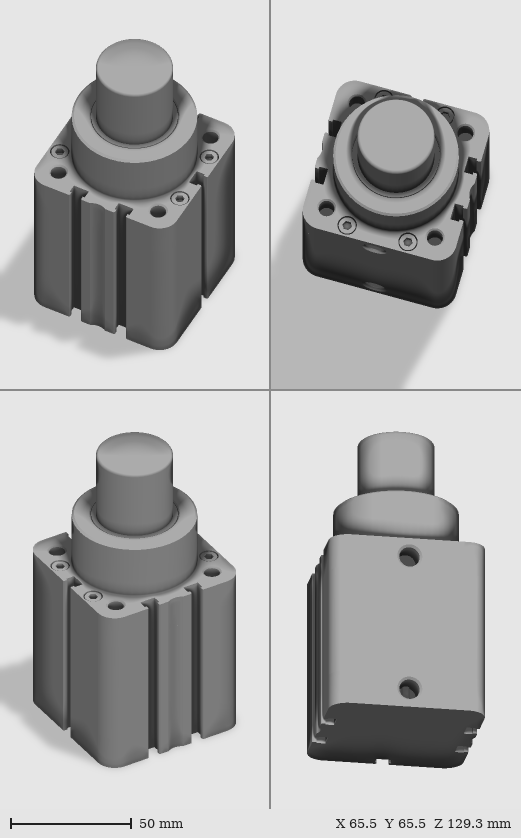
import cadquery as cq
import math


BODY_SIDE = 65.5
BODY_HALF = BODY_SIDE / 2
CORNER_RADIUS = 8.0
REAR_CAP_TOP = 14.6
BARREL_TOP = 60.6
BODY_TOP = 75.0

COLLAR_DIAMETER = 52.0
COLLAR_TOP = 99.0
COLLAR_FACE_DIAMETER = 50.0
COLLAR_CHAMFER_HEIGHT = 0.8
COLLAR_ROOT_FILLET = 0.8

ROD_DIAMETER = 32.0
ROD_TOP = 129.3
ROD_EDGE_FILLET = 1.5

RECESS_EDGE_DIAMETER = 37.5
RECESS_DIAMETER = 36.5
RIM_DIAMETER = 36.0
RIM_DROP = 0.5
RIM_GAP_DEPTH = 2.6

SLOT_OFFSET = 10.5
SLOT_MOUTH_WIDTH = 5.2
SLOT_MOUTH_BEVEL = 0.4
SLOT_HEAD_WIDTH = 7.0
SLOT_LIP = 1.8
SLOT_DEPTH = 5.5

GROOVE_RADIUS = 6.6
GROOVE_DEPTH = 1.0

PORT_DIAMETER = 8.5
PORT_RIM_DIAMETER = 10.5
PORT_DEPTH = 10.3
FRONT_PORT_Z = 67.0
REAR_PORT_Z = 8.1
FRONT_PORT_FLOOR_RADIUS = 25.9
RIB_DIAMETER = 3.5

MOUNT_OFFSET = 23.3
MOUNT_DIAMETER = 6.6
MOUNT_RIM_DIAMETER = 8.0
MOUNT_DEPTH = 11.6

SCREW_X = 28.0
SCREW_Y = 13.0
SCREW_SEAT_DIAMETER = 8.0
SCREW_HEAD_DIAMETER = 7.0
SCREW_HEAD_DROP = 0.3
SCREW_SEAT_DEPTH = 3.9
HEX_ACROSS_FLATS = 3.5
HEX_DEPTH = 2.6


def t_slot(height):
    """T-slot cutter entering the +Y side at X = 0, with bevelled mouth edges."""
    mouth = cq.Workplane("XY").box(SLOT_MOUTH_WIDTH, SLOT_DEPTH, height, centered=(True, False, False))
    head = cq.Workplane("XY").box(
        SLOT_HEAD_WIDTH, SLOT_DEPTH - SLOT_LIP, height, centered=(True, False, False)
    )
    half_mouth = SLOT_MOUTH_WIDTH / 2
    bevel_start = SLOT_DEPTH - SLOT_MOUTH_BEVEL
    bevel_points = [
        (-half_mouth, bevel_start),
        (half_mouth, bevel_start),
        (half_mouth + SLOT_MOUTH_BEVEL, SLOT_DEPTH),
        (-half_mouth - SLOT_MOUTH_BEVEL, SLOT_DEPTH),
    ]
    bevel = cq.Workplane("XY").polyline(bevel_points).close().extrude(height)
    return mouth.union(head).union(bevel).translate((0, BODY_HALF - SLOT_DEPTH, 0))


def body_section(bottom, top):
    """Slice of the slotted square profile between two heights."""
    height = top - bottom
    section = cq.Workplane("XY").box(BODY_SIDE, BODY_SIDE, height, centered=(True, True, False))
    section = section.edges("|Z").fillet(CORNER_RADIUS)
    slot = t_slot(height)
    groove_centre = BODY_HALF - GROOVE_DEPTH + GROOVE_RADIUS
    for side_angle in (0, 180):
        for x in (-SLOT_OFFSET, SLOT_OFFSET):
            section = section.cut(slot.translate((x, 0, 0)).rotate((0, 0, 0), (0, 0, 1), side_angle))
    for y in (-groove_centre, groove_centre):
        section = section.cut(cq.Workplane("XY").center(0, y).circle(GROOVE_RADIUS).extrude(height))
    section = section.cut(slot.rotate((0, 0, 0), (0, 0, 1), -90))
    return section.translate((0, 0, bottom))


def bevelled_hole(diameter, rim_diameter, depth):
    """Flat-bottomed hole cutter going down from Z = 0, with a 45 degree rim bevel."""
    radius = diameter / 2
    rim_radius = rim_diameter / 2
    bevel = rim_radius - radius
    profile = [(0, 0), (rim_radius, 0), (radius, -bevel), (radius, -depth), (0, -depth)]
    return cq.Workplane("XZ").polyline(profile).close().revolve(360, (0, 0, 0), (0, 1, 0))


def port(height):
    """Air port cutter entering the -X side."""
    hole = bevelled_hole(PORT_DIAMETER, PORT_RIM_DIAMETER, PORT_DEPTH)
    return hole.rotate((0, 0, 0), (0, 1, 0), -90).translate((-BODY_HALF, 0, height))


def front_port():
    """Front air port cutter, with a floor curved about the Y direction."""
    floor_round = (
        cq.Workplane("XZ")
        .center(PORT_DEPTH - BODY_HALF - FRONT_PORT_FLOOR_RADIUS, FRONT_PORT_Z)
        .circle(FRONT_PORT_FLOOR_RADIUS)
        .extrude(PORT_RIM_DIAMETER, both=True)
    )
    return port(FRONT_PORT_Z).intersect(floor_round)


def rear_port():
    """Rear air port cutter, leaving a half-round upright rib on its floor."""
    rib = (
        cq.Workplane("XY")
        .center(PORT_DEPTH - BODY_HALF, 0)
        .circle(RIB_DIAMETER / 2)
        .extrude(REAR_CAP_TOP)
    )
    return port(REAR_PORT_Z).cut(rib)


def collar():
    """Round collar standing on the front cap, flared at its root."""
    radius = COLLAR_DIAMETER / 2
    root_radius = radius + COLLAR_ROOT_FILLET
    arc_inset = COLLAR_ROOT_FILLET * (1 - math.sqrt(0.5))
    return (
        cq.Workplane("XZ")
        .moveTo(0, BARREL_TOP)
        .lineTo(radius, BARREL_TOP)
        .lineTo(radius, BODY_TOP)
        .lineTo(root_radius, BODY_TOP)
        .threePointArc((radius + arc_inset, BODY_TOP + arc_inset), (radius, BODY_TOP + COLLAR_ROOT_FILLET))
        .lineTo(radius, COLLAR_TOP - COLLAR_CHAMFER_HEIGHT)
        .lineTo(COLLAR_FACE_DIAMETER / 2, COLLAR_TOP)
        .lineTo(0, COLLAR_TOP)
        .close()
        .revolve(360, (0, 0, 0), (0, 1, 0))
    )


def sunken_disc(disc_diameter, drop):
    """Plain disc, its top below Z = 0, kept standing when a hole is cut around it."""
    return cq.Workplane("XY").circle(disc_diameter / 2).extrude(-BODY_TOP).translate((0, 0, -drop))


def rim_recess():
    """Cutter for the bevelled recess around the rod, leaving the sunken rim standing."""
    recess = bevelled_hole(RECESS_DIAMETER, RECESS_EDGE_DIAMETER, RIM_GAP_DEPTH)
    return recess.cut(sunken_disc(RIM_DIAMETER, RIM_DROP))


def screw_outline():
    """Cutter for one screw: the seat around its sunken head, and its hexagon socket."""
    seat = cq.Workplane("XY").circle(SCREW_SEAT_DIAMETER / 2).extrude(-SCREW_SEAT_DEPTH)
    seat = seat.cut(sunken_disc(SCREW_HEAD_DIAMETER, SCREW_HEAD_DROP))
    hex_corners = HEX_ACROSS_FLATS / math.cos(math.pi / 6)
    socket = cq.Workplane("XY").polygon(6, hex_corners).extrude(-HEX_DEPTH)
    socket = socket.rotate((0, 0, 0), (0, 0, 1), 30).translate((0, 0, -SCREW_HEAD_DROP))
    return seat.union(socket)


def make_rear_cap():
    return body_section(0, REAR_CAP_TOP).cut(rear_port())


def make_barrel():
    return body_section(REAR_CAP_TOP, BARREL_TOP)


def make_front_cap():
    cap = body_section(BARREL_TOP, BODY_TOP).union(collar())
    cap = cap.cut(rim_recess().translate((0, 0, COLLAR_TOP)))
    rod_bore = cq.Workplane("XY").circle(ROD_DIAMETER / 2).extrude(COLLAR_TOP - BARREL_TOP)
    cap = cap.cut(rod_bore.translate((0, 0, BARREL_TOP)))
    cap = cap.cut(front_port())
    mount_hole = bevelled_hole(MOUNT_DIAMETER, MOUNT_RIM_DIAMETER, MOUNT_DEPTH)
    screw = screw_outline()
    for x_side in (-1, 1):
        for y_side in (-1, 1):
            cap = cap.cut(mount_hole.translate((x_side * MOUNT_OFFSET, y_side * MOUNT_OFFSET, BODY_TOP)))
            cap = cap.cut(screw.translate((x_side * SCREW_X, y_side * SCREW_Y, BODY_TOP)))
    return cap


def make_rod():
    """Plain rod seated on the barrel, with a rounded free end."""
    rod = cq.Workplane("XY").circle(ROD_DIAMETER / 2).extrude(ROD_TOP - BARREL_TOP)
    return rod.faces(">Z").edges().fillet(ROD_EDGE_FILLET).translate((0, 0, BARREL_TOP))


rear_cap = make_rear_cap()
barrel = make_barrel()
front_cap = make_front_cap()
rod = make_rod()

result = cq.Compound.makeCompound([rear_cap.val(), barrel.val(), front_cap.val(), rod.val()])